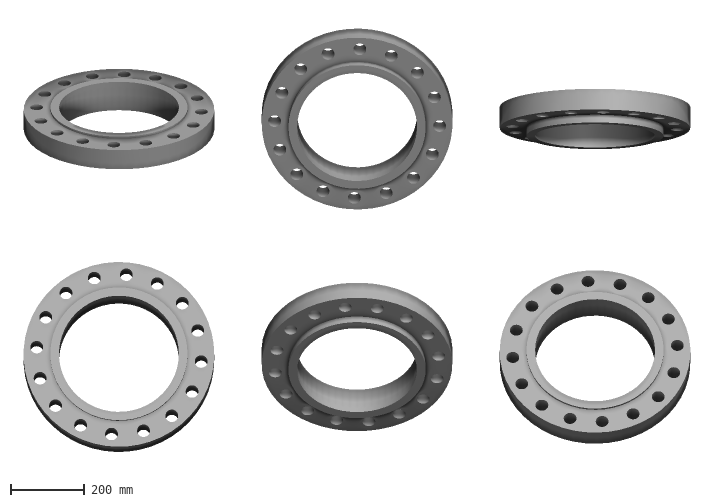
import cadquery as cq

flange_diameter = 520.7
hub_diameter = 374.6
raised_face_diameter = 374.6
bore_diameter = 327.2
bolt_circle_diameter = 450.8
bolt_hole_diameter = 35.0
bolt_hole_count = 16

overall_height = 85.6
raised_face_height = 6.4
hub_height = 21.6
flange_thickness = overall_height - raised_face_height - hub_height

bolt_hole_pitch = 360 / bolt_hole_count
first_hole_angle = bolt_hole_pitch / 2


def make_body():
    """Stack the hub, the flange disc and the raised face along Z, from Z = 0 up."""
    hub = cq.Workplane("XY").circle(hub_diameter / 2).extrude(hub_height)
    flange = hub.faces(">Z").workplane().circle(flange_diameter / 2).extrude(flange_thickness)
    return flange.faces(">Z").workplane().circle(raised_face_diameter / 2).extrude(raised_face_height)


def make_bore():
    """Straight bore through the full height."""
    return cq.Workplane("XY").circle(bore_diameter / 2).extrude(overall_height)


def make_bolt_holes():
    """Evenly spaced through holes on the bolt circle."""
    return (
        cq.Workplane("XY")
        .polarArray(bolt_circle_diameter / 2, first_hole_angle, 360, bolt_hole_count)
        .circle(bolt_hole_diameter / 2)
        .extrude(overall_height)
    )


result = make_body().cut(make_bore()).cut(make_bolt_holes())